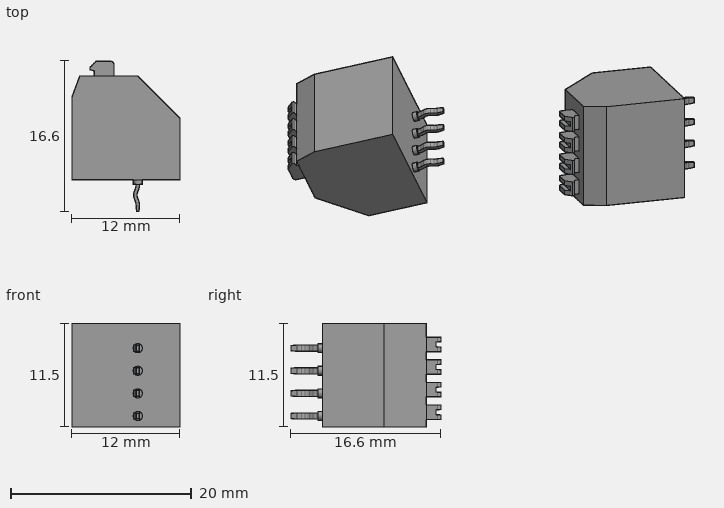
import cadquery as cq
import math

housing_width = 12.0
housing_depth = 11.5
housing_height = 11.5
wire_chamfer = 4.7
corner_cut_x = 0.88
corner_cut_y = 2.37

contact_count = 4
contact_span = 7.5
pitch = contact_span / (contact_count - 1)
first_pin_z = 1.25
first_button_z = 1.66

pin_x = 7.3
collar_diameter = 1.01
collar_length = 0.51
pin_length = 3.49
pin_thickness = 0.4
pin_width = 0.71
tip_length = 0.61
tip_thickness = 0.3
tip_width = 0.6
crest_distance = 1.7
bend_angle = math.radians(21)
end_bend_radius = 1.08
crest_bend_radius = 0.93
bend_straight = 0.4

button_x = 2.0
button_width = 2.69
button_projection = 1.61
button_height = 1.63
button_chamfer = 0.7
button_round = 0.37
hook_overhang = 0.48
hook_root = 0.53
hook_rise = 0.13
hook_round = 0.13
slot_depth = 0.53
slot_mouth = 0.58
slot_floor = 0.5


def make_housing():
    outline = [
        (0, 0),
        (housing_width, 0),
        (housing_width, housing_depth - wire_chamfer),
        (housing_width - wire_chamfer, housing_depth),
        (corner_cut_x, housing_depth),
        (0, housing_depth - corner_cut_y),
    ]
    return cq.Workplane("XY").polyline(outline).close().extrude(housing_height)


def make_wave_path():
    """Mid-thickness line of a pin: it swings to -X and back while running along -Y."""
    sine = math.sin(bend_angle)
    cosine = math.cos(bend_angle)
    end_run = end_bend_radius * sine
    end_shift = end_bend_radius * (1 - cosine)
    straight_run = bend_straight * cosine
    straight_shift = bend_straight * sine
    crest_run = crest_bend_radius * sine
    crest_shift = crest_bend_radius * (1 - cosine)

    crest_x = pin_x - end_shift - straight_shift - crest_shift
    slope_low = (crest_x + crest_shift, crest_run)
    slope_high = (slope_low[0] + straight_shift, slope_low[1] + straight_run)
    wave_end = (pin_x, slope_high[1] + end_run)

    def before(point):
        return (point[0], point[1] - crest_distance)

    def after(point):
        return (point[0], -point[1] - crest_distance)

    return (
        cq.Workplane("XY")
        .moveTo(pin_x, 0)
        .lineTo(*before(wave_end))
        .tangentArcPoint(before(slope_high), relative=False)
        .lineTo(*before(slope_low))
        .tangentArcPoint(after(slope_low), relative=False)
        .lineTo(*after(slope_high))
        .tangentArcPoint(after(wave_end), relative=False)
        .lineTo(pin_x, tip_length - pin_length)
    )


def make_pin():
    """One pin with its collar, centred on Z = 0."""
    front = cq.Workplane("XZ").center(pin_x, 0)
    collar = front.circle(collar_diameter / 2).extrude(collar_length)
    blade = front.rect(pin_thickness, pin_width).sweep(make_wave_path())
    tip = (
        front.workplane(offset=pin_length - tip_length)
        .rect(pin_thickness, pin_width)
        .workplane(offset=tip_length)
        .rect(tip_thickness, tip_width)
        .loft(combine=True)
    )
    return collar.union(blade).union(tip)


def make_button():
    """One hooked button with its slot, centred on Z = 0."""
    rear = housing_depth
    top = rear + button_projection
    right = button_x + button_width
    hook_tip = (button_x, rear + hook_root + hook_rise)
    outline = [
        (button_x + hook_overhang, rear),
        (right, rear),
        (right, top),
        (button_x + button_chamfer, top),
        (button_x, top - button_chamfer),
        hook_tip,
        (button_x + hook_overhang, rear + hook_root),
    ]
    body = cq.Workplane("XY").polyline(outline).close().extrude(button_height / 2, both=True)
    body = body.edges(cq.NearestToPointSelector((right, top, 0))).fillet(button_round)
    body = body.edges(cq.NearestToPointSelector((*hook_tip, 0))).fillet(hook_round)

    slot_outline = [
        (top, -slot_mouth / 2),
        (top, slot_mouth / 2),
        (top - slot_depth, slot_floor / 2),
        (top - slot_depth, -slot_floor / 2),
    ]
    slot = cq.Workplane("YZ").polyline(slot_outline).close().extrude(right)
    return body.cut(slot)


result = make_housing()
pin = make_pin()
button = make_button()
for index in range(contact_count):
    height = index * pitch
    result = result.union(pin.translate((0, 0, first_pin_z + height)))
    result = result.union(button.translate((0, 0, first_button_z + height)))